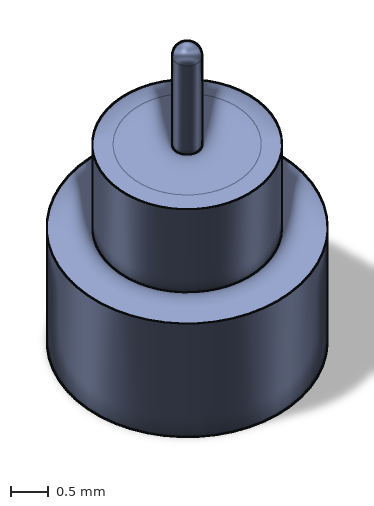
import cadquery as cq

base_diameter = 3.7
base_height = 2.05
collar_diameter = 2.5
collar_height = 1.5
insulator_diameter = 1.95
pin_diameter = 0.4
pin_length = 1.8

collar_top = base_height + collar_height
pin_radius = pin_diameter / 2
pin_straight_top = collar_top + pin_length - pin_radius
pin_top = collar_top + pin_length


def make_body():
    """Stepped round body: a wide base below a narrower collar."""
    base = cq.Workplane("XY").circle(base_diameter / 2).extrude(base_height)
    collar = (
        cq.Workplane("XY")
        .workplane(offset=base_height)
        .circle(collar_diameter / 2)
        .extrude(collar_height)
    )
    return base.union(collar)


def make_insulator():
    """Round insert that fills the collar flush with its top face."""
    return (
        cq.Workplane("XY")
        .workplane(offset=base_height)
        .circle(insulator_diameter / 2)
        .extrude(collar_height)
    )


def make_pin():
    """Central contact pin with a hemispherical tip, revolved about Z."""
    tip_mid = pin_radius * 0.5 ** 0.5
    return (
        cq.Workplane("XZ")
        .moveTo(0, base_height)
        .lineTo(pin_radius, base_height)
        .lineTo(pin_radius, pin_straight_top)
        .threePointArc((tip_mid, pin_straight_top + tip_mid), (0, pin_top))
        .close()
        .revolve(360, (0, 0, 0), (0, 1, 0))
    )


insulator = make_insulator()
body = make_body().cut(insulator).union(insulator, clean=False)
result = body.union(make_pin(), clean=False)